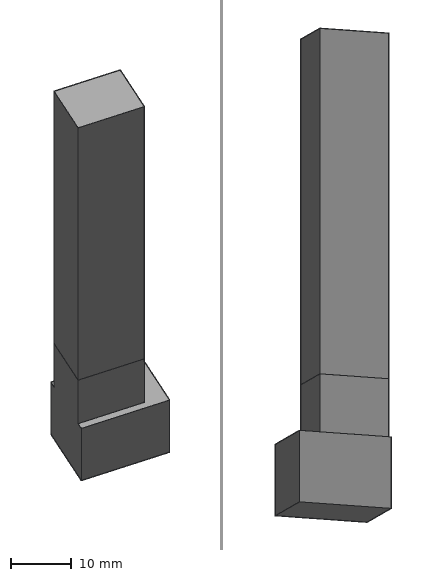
import cadquery as cq

head_width = 12.0
head_depth = 16.0
head_height = 12.0

shank_width = 9.5
shank_depth = 12.0
neck_height = 10.0
total_height = 80.0

neck_top = head_height + neck_height
bar_height = total_height - neck_top


def shank_block(base_z, height):
    """Rectangular length of shank, flush with the front face of the head at Y = 0."""
    return (
        cq.Workplane("XY")
        .box(shank_width, shank_depth, height, centered=(True, False, False))
        .translate((0, 0, base_z))
    )


def make_stepped_base():
    """Head block with the shorter, narrower neck standing on it."""
    head = cq.Workplane("XY").box(head_width, head_depth, head_height, centered=(True, False, False))
    return head.union(shank_block(head_height, neck_height))


def make_bar():
    """Long bar that rests on top of the neck."""
    return shank_block(neck_top, bar_height)


stepped_base = make_stepped_base()
bar = make_bar()

result = cq.Compound.makeCompound([stepped_base.val(), bar.val()])